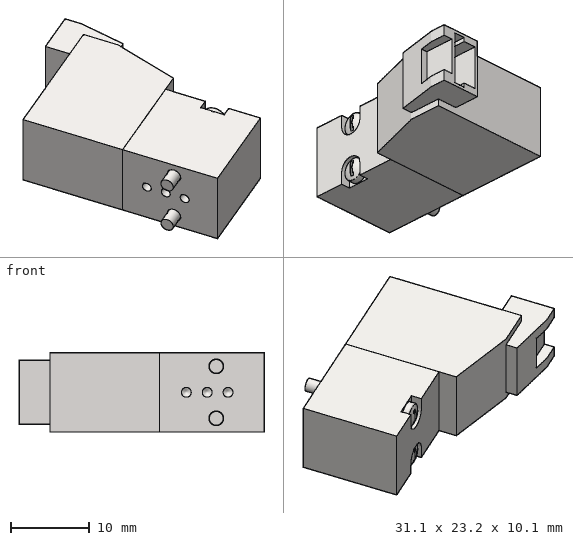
import cadquery as cq
import math

total_length = 31.15
body_height = 10.12

housing_start = 3.9
housing_end = 17.85
housing_depth = 18.28
housing_shoulder_depth = 15.38
connector_end = 8.75
connector_front = 15.15
connector_back = 21.1
connector_end_back = 19.8
connector_slope_start = 2.3
connector_height = 8.15

socket_depth = 4.5
socket_wall = 0.45
socket_step = 2.37
socket_back = 4.05
socket_wide_height = connector_height - 2 * socket_wall
socket_narrow_height = 6.1

latch_notch_height = 5.05
latch_notch_depth = 1.37
latch_notch_length = socket_depth

valve_depth = 13.0
port_diameter = 1.25
port_spacing = 2.65
port_middle_x = 23.88
port_depth = 2.5
drill_tip_angle = 118.0

screw_x = 25.05
screw_offset_z = 3.3
screw_protrusion = 2.1
shank_diameter = 1.75
shank_hole_diameter = 1.87
head_diameter = 3.27
head_seat_y = 11.6
head_rim_height = 0.8
head_dome_height = 0.53
head_edge_radius = 0.22
driver_slot_width = 0.45
driver_slot_depth = 0.22


def box_between(x_range, y_range, z_range):
    """Box that fills the given X, Y and Z ranges."""
    (x0, x1), (y0, y1), (z0, z1) = x_range, y_range, z_range
    return cq.Workplane("XY").box(x1 - x0, y1 - y0, z1 - z0, centered=False).translate((x0, y0, z0))


def centred_plate(points, height):
    """Prism on an XY outline, centred on the mid-plane."""
    return cq.Workplane("XY").polyline(points).close().extrude(height / 2, both=True)


def y_cylinder(x, z, diameter, y_start, y_end):
    """Cylinder along Y."""
    axis = cq.Vector(0, 1, 0)
    cylinder = cq.Solid.makeCylinder(diameter / 2, y_end - y_start, cq.Vector(x, y_start, z), axis)
    return cq.Workplane(obj=cylinder)


def make_socket():
    """Stepped plug socket, blind along X."""
    def layer(y_start, y_end, height):
        return box_between((0, socket_depth), (y_start, y_end), (-height / 2, height / 2))

    step_y = connector_front + socket_step
    narrow = layer(connector_front + socket_wall, step_y, socket_narrow_height)
    wide = layer(step_y, connector_front + socket_back, socket_wide_height)
    return narrow.union(wide)


def make_housing():
    """Coil housing and the plug connector on its -X end."""
    coil = centred_plate([
        (housing_start, 0),
        (housing_end, 0),
        (housing_end, housing_shoulder_depth),
        (connector_end, housing_depth),
        (housing_start, housing_depth),
    ], body_height)
    connector = centred_plate([
        (0, connector_front),
        (connector_end, connector_front),
        (connector_end, connector_end_back),
        (connector_slope_start, connector_back),
        (0, connector_back),
    ], connector_height)
    latch_notch = box_between(
        (0, latch_notch_length),
        (connector_back - latch_notch_depth, connector_back),
        (-latch_notch_height / 2, latch_notch_height / 2),
    )
    return coil.union(connector).cut(make_socket()).cut(latch_notch)


def make_port(x):
    """Drilled port in the mounting face, with a conical bottom."""
    radius = port_diameter / 2
    tip_length = radius / math.tan(math.radians(drill_tip_angle / 2))
    profile = [(0, 0), (radius, 0), (radius, port_depth), (0, port_depth + tip_length)]
    port = cq.Workplane("XY").polyline(profile).close().revolve(360, (0, 0), (0, 1))
    return port.translate((x, 0, 0))


def make_screw_cutout(side):
    """Clearance hole and a head recess that opens to the back and to the +Z or -Z face."""
    z = side * screw_offset_z
    face_z = side * body_height / 2
    hole = y_cylinder(screw_x, z, shank_hole_diameter, 0, head_seat_y)
    round_end = y_cylinder(screw_x, z, head_diameter, head_seat_y, valve_depth)
    opening = box_between(
        (screw_x - head_diameter / 2, screw_x + head_diameter / 2),
        (head_seat_y, valve_depth),
        (min(z, face_z), max(z, face_z)),
    )
    return hole.union(round_end).union(opening)


def make_valve():
    """Valve block with three ports and two screw cutouts."""
    valve = box_between(
        (housing_end, total_length), (0, valve_depth), (-body_height / 2, body_height / 2)
    )
    for step in (-1, 0, 1):
        valve = valve.cut(make_port(port_middle_x + step * port_spacing))
    for side in (-1, 1):
        valve = valve.cut(make_screw_cutout(side))
    return valve


def make_screw(side):
    """Mounting screw along Y with a slotted, domed head."""
    head_radius = head_diameter / 2
    rim_y = head_seat_y + head_rim_height
    top_y = rim_y + head_dome_height
    dome_radius = (head_radius ** 2 + head_dome_height ** 2) / (2 * head_dome_height)
    mid_angle = math.asin(head_radius / dome_radius) / 2
    dome_middle = (
        dome_radius * math.sin(mid_angle),
        top_y - dome_radius * (1 - math.cos(mid_angle)),
    )
    screw = (
        cq.Workplane("XY")
        .moveTo(0, -screw_protrusion)
        .lineTo(shank_diameter / 2, -screw_protrusion)
        .lineTo(shank_diameter / 2, head_seat_y)
        .lineTo(head_radius, head_seat_y)
        .lineTo(head_radius, rim_y)
        .threePointArc(dome_middle, (0, top_y))
        .close()
        .revolve(360, (0, 0), (0, 1))
    )
    rim_edge = cq.selectors.BoxSelector(
        (-head_diameter, rim_y - head_edge_radius / 2, -head_diameter),
        (head_diameter, rim_y + head_edge_radius / 2, head_diameter),
    )
    screw = screw.edges("%CIRCLE").edges(rim_edge).fillet(head_edge_radius)
    driver_slot = box_between(
        (-driver_slot_width / 2, driver_slot_width / 2),
        (top_y - driver_slot_depth, top_y),
        (-head_radius, head_radius),
    )
    return screw.cut(driver_slot).translate((screw_x, 0, side * screw_offset_z))


housing = make_housing()
valve = make_valve()
screws = [make_screw(side) for side in (-1, 1)]

result = cq.Compound.makeCompound([housing.val(), valve.val(), *[screw.val() for screw in screws]])